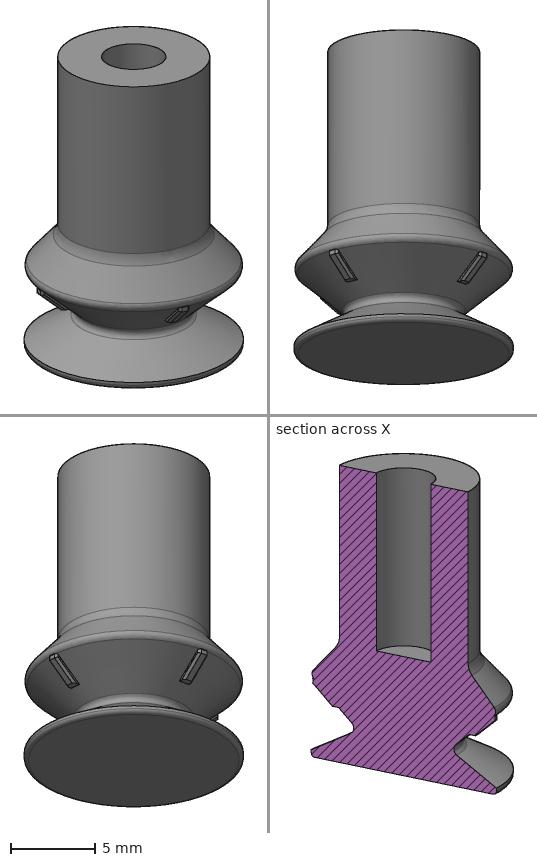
import cadquery as cq

height = 18.65
stem_diameter = 9.0
lip_diameter = 13.0
bore_diameter = 3.8

shoulder_z = 7.5
ridge_radius = 6.6
ridge_z = 5.18
neck_radius = 3.23
neck_z = 2.28
lip_thickness = 0.45

shoulder_round = 1.03
ridge_round = 0.37
neck_round = 0.4
lip_round = 0.26

rib_count = 4
rib_width = 0.73
rib_chamfer = 0.15
rib_outer_radius = 6.38
rib_bottom_z = 3.43
rib_top_z = 4.95
rib_face_height = 0.3
rib_projection = 0.43
rib_root_depth = 0.56

flare = (ridge_radius - neck_radius) / (ridge_z - neck_z)


def flare_radius(z):
    """Radius of the cone between neck and ridge at height z."""
    return neck_radius + flare * (z - neck_z)


def round_circle(body, z, radius):
    """Round the circular edge of the body that lies at height z."""
    tolerance = 0.002
    edge = body.edges("%CIRCLE").filter(lambda e: abs(e.Center().z - z) < tolerance)
    return edge.fillet(radius)


def make_body():
    """Solid of revolution: stem, shoulder, ridge, neck and lip."""
    stem_radius = stem_diameter / 2
    lip_radius = lip_diameter / 2
    profile = [
        (0, 0),
        (lip_radius, 0),
        (lip_radius, lip_thickness),
        (neck_radius, neck_z),
        (ridge_radius, ridge_z),
        (stem_radius, shoulder_z),
        (stem_radius, height),
        (0, height),
    ]
    body = cq.Workplane("XZ").polyline(profile).close().revolve(360, (0, 0), (0, 1))
    body = round_circle(body, shoulder_z, shoulder_round)
    body = round_circle(body, ridge_z, ridge_round)
    body = round_circle(body, neck_z, neck_round)
    return round_circle(body, 0, lip_round)


def make_rib():
    """One rib on the +X side, following the cone, with chamfered outer edges."""
    bottom_radius = flare_radius(rib_bottom_z)
    face_bottom_z = rib_top_z - rib_face_height
    profile = [
        (bottom_radius - rib_root_depth, rib_bottom_z),
        (bottom_radius + rib_projection, rib_bottom_z),
        (rib_outer_radius, face_bottom_z),
        (rib_outer_radius, rib_top_z),
        (flare_radius(rib_top_z) - rib_root_depth, rib_top_z),
    ]
    rib = cq.Workplane("XZ").polyline(profile).close().extrude(rib_width / 2, both=True)

    slope_mid_z = (rib_bottom_z + face_bottom_z) / 2
    outer_edges = rib.faces("|Y").edges(
        cq.selectors.BoxSelector(
            (flare_radius(slope_mid_z) + rib_projection / 2, -rib_width, rib_bottom_z + rib_chamfer),
            (rib_outer_radius + rib_chamfer, rib_width, rib_top_z - rib_chamfer / 2),
        )
    )
    return outer_edges.chamfer(rib_chamfer)


result = make_body()

rib = make_rib()
for index in range(rib_count):
    result = result.union(rib.rotate((0, 0, 0), (0, 0, 1), index * 360 / rib_count))

bore_depth = height - shoulder_z
bore = cq.Workplane("XY", origin=(0, 0, height)).circle(bore_diameter / 2).extrude(-bore_depth)
result = result.cut(bore)